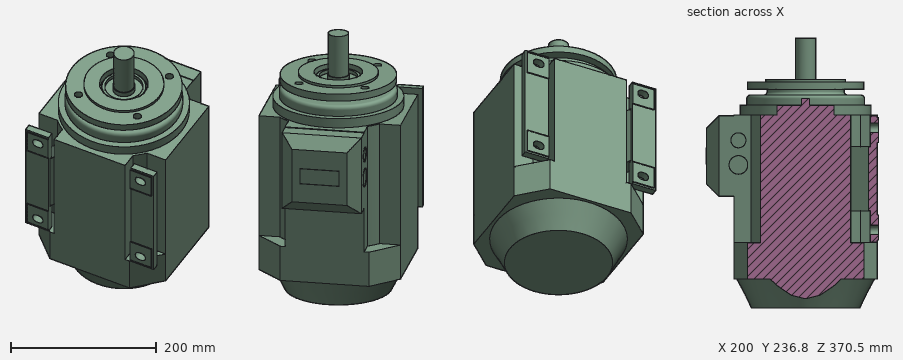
import cadquery as cq
import math


shaft_diameter = 28.0
shaft_length = 60.0
collar_diameter = 30.4
spigot_diameter = 110.0
spigot_height = 3.5
flange_diameter = 160.0
flange_thickness = 10.2
bolt_circle_diameter = 130.0
bolt_hole_diameter = 11.0
bolt_count = 4
first_bolt_angle = 45.0

recess_diameter = 66.5
recess_depth = 10.5
ring_outer_diameter = 61.4
ring_inner_diameter = 52.5
ring_height = 5.0
ring_chamfer = 0.7
recess_floor_z = spigot_height - recess_depth

neck_diameter = 106.0
neck_fillet = 4.5
shoulder_z = -18.0
shield_diameter = 162.0
shield_fillet = 5.5
rim_z = -32.0
rim_diameter = 180.0

half_width = 99.0
half_depth = 98.4
flat_half_width = 62.1
body_top_z = -45.5
notched_length = 175.0
octagon_length = 50.0
rib_half_width = 55.3
core_diameter = 186.8
octagon_top_z = body_top_z - notched_length
octagon_bottom_z = octagon_top_z - octagon_length

cover_length = 40.0
cover_top_diameter = 189.0
cover_end_diameter = 148.5

box_width = 2 * rib_half_width
box_top_gap = 1.0
box_top_z = body_top_z - box_top_gap
box_wall_y = 119.1
box_lid_bevel = 16.9
box_cover_y = box_wall_y + box_lid_bevel
box_middle_z = box_top_z - box_width / 2
plate_width = 54.5
plate_height = 22.0
plate_thickness = 0.75
entry_y = 92.2
entry_recess_depth = 1.0
entries = ((20.6, 34.7), (25.6, 68.5))

shaft_height = 100.0
foot_outer_x = 100.0
foot_inner_x = 64.2
foot_end_gap = 0.75
pad_outer_x = 97.0
pad_end_gap = 3.5
pad_length = 34.5
foot_bottom_y = -half_depth
foot_thickness = 10.0
foot_top_y = foot_bottom_y + foot_thickness
foot_hole_x = 80.0
foot_hole_spacing = 140.0
foot_slot_length = 16.0
foot_slot_width = 12.5
web_length = 88.0
web_lean = 0.46
feet_middle_z = body_top_z - notched_length / 2


def box_between(x_min, x_max, y_min, y_max, z_min, z_max):
    size = (x_max - x_min, y_max - y_min, z_max - z_min)
    return cq.Workplane("XY").box(*size, centered=False).translate((x_min, y_min, z_min))


def cylinder_between(diameter, z_min, z_max):
    return cq.Workplane("XY").workplane(offset=z_min).circle(diameter / 2).extrude(z_max - z_min)


def make_body():
    octagon = (
        cq.Workplane("XY")
        .workplane(offset=octagon_bottom_z)
        .polyline([
            (half_width, -flat_half_width),
            (half_width, flat_half_width),
            (flat_half_width, half_depth),
            (-flat_half_width, half_depth),
            (-half_width, flat_half_width),
            (-half_width, -flat_half_width),
            (-flat_half_width, -half_depth),
            (flat_half_width, -half_depth),
        ])
        .close()
        .extrude(octagon_length)
    )
    side_block = box_between(
        -half_width, half_width, -flat_half_width, flat_half_width, octagon_top_z, body_top_z
    )
    rib_block = box_between(
        -rib_half_width, rib_half_width, -half_depth, half_depth, octagon_top_z, body_top_z
    )
    core = cylinder_between(core_diameter, octagon_top_z, body_top_z)
    return octagon.union(side_block).union(rib_block).union(core)


def make_fan_cover():
    return (
        cq.Workplane("XY")
        .workplane(offset=octagon_bottom_z)
        .circle(cover_top_diameter / 2)
        .workplane(offset=-cover_length)
        .circle(cover_end_diameter / 2)
        .loft(ruled=True)
    )


def make_flange_end():
    """End shield, neck, flange and spigot turned as one profile."""
    neck_r = neck_diameter / 2
    shield_r = shield_diameter / 2
    arc_reach = 1 - math.sqrt(0.5)
    turned = (
        cq.Workplane("XZ")
        .moveTo(0, body_top_z)
        .lineTo(rim_diameter / 2, body_top_z)
        .lineTo(rim_diameter / 2, rim_z)
        .lineTo(shield_r, rim_z)
        .lineTo(shield_r, shoulder_z - shield_fillet)
        .threePointArc(
            (shield_r - arc_reach * shield_fillet, shoulder_z - arc_reach * shield_fillet),
            (shield_r - shield_fillet, shoulder_z),
        )
        .lineTo(neck_r + neck_fillet, shoulder_z)
        .threePointArc(
            (neck_r + arc_reach * neck_fillet, shoulder_z + arc_reach * neck_fillet),
            (neck_r, shoulder_z + neck_fillet),
        )
        .lineTo(neck_r, -flange_thickness)
        .lineTo(flange_diameter / 2, -flange_thickness)
        .lineTo(flange_diameter / 2, 0)
        .lineTo(spigot_diameter / 2, 0)
        .lineTo(spigot_diameter / 2, spigot_height)
        .lineTo(recess_diameter / 2, spigot_height)
        .lineTo(recess_diameter / 2, recess_floor_z)
        .lineTo(0, recess_floor_z)
        .close()
        .revolve(360, (0, 0, 0), (0, 1, 0))
    )
    bolt_holes = (
        cq.Workplane("XY")
        .polarArray(bolt_circle_diameter / 2, first_bolt_angle, 360, bolt_count)
        .circle(bolt_hole_diameter / 2)
        .extrude(-flange_thickness)
    )
    ring = (
        cylinder_between(ring_outer_diameter, recess_floor_z, recess_floor_z + ring_height)
        .faces(">Z")
        .chamfer(ring_chamfer)
        .cut(cylinder_between(ring_inner_diameter, recess_floor_z, recess_floor_z + ring_height))
    )
    return turned.cut(bolt_holes).union(ring)


def make_shaft():
    collar = cylinder_between(collar_diameter, recess_floor_z, 0)
    return collar.union(cylinder_between(shaft_diameter, 0, shaft_length))


def make_terminal_box():
    walls = box_between(
        -rib_half_width, rib_half_width, 0, box_wall_y, box_top_z - box_width, box_top_z
    )
    lid_width = box_width - 2 * box_lid_bevel
    lid = (
        cq.Workplane("XZ", origin=(0, box_wall_y, box_middle_z))
        .rect(box_width, box_width)
        .workplane(offset=box_wall_y - box_cover_y)
        .rect(lid_width, lid_width)
        .loft(ruled=True)
    )
    plate = cq.Workplane("XY").box(plate_width, plate_thickness, plate_height)
    plate = plate.translate((0, box_cover_y + plate_thickness / 2, box_middle_z))
    return walls.union(lid).union(plate)


def make_cable_entries():
    """Shallow round recesses in the -X wall of the terminal box."""
    recesses = cq.Workplane("XY")
    for diameter, drop in entries:
        recess = (
            cq.Workplane("YZ", origin=(-rib_half_width, entry_y, body_top_z - drop))
            .circle(diameter / 2)
            .extrude(entry_recess_depth)
        )
        recesses = recesses.union(recess)
    return recesses


def make_foot():
    """Foot on the +X side: plate, two raised pads, slotted holes and a leaning web."""
    foot_top_z = body_top_z - foot_end_gap
    foot_bottom_z = octagon_top_z + foot_end_gap
    foot = box_between(
        foot_inner_x, foot_outer_x, foot_bottom_y, foot_top_y, foot_bottom_z, foot_top_z
    )

    for pad_bottom_z in (octagon_top_z + pad_end_gap, body_top_z - pad_end_gap - pad_length):
        pad = box_between(
            foot_inner_x, pad_outer_x, -shaft_height, foot_bottom_y,
            pad_bottom_z, pad_bottom_z + pad_length,
        )
        foot = foot.union(pad)

    slots = (
        cq.Workplane("XZ", origin=(foot_hole_x, -shaft_height, feet_middle_z))
        .rarray(1, foot_hole_spacing, 1, 2)
        .slot2D(foot_slot_length, foot_slot_width)
        .extrude(-(foot_top_y + shaft_height))
    )
    foot = foot.cut(slots)

    core_r = core_diameter / 2
    outer_root = (math.sqrt(core_r**2 - flat_half_width**2), -flat_half_width)
    inner_root = (rib_half_width, -math.sqrt(core_r**2 - rib_half_width**2))
    outer_toe_x = outer_root[0] + web_lean * (outer_root[1] - foot_top_y)
    inner_toe_y = inner_root[1] - (foot_inner_x - rib_half_width) / web_lean
    web = (
        cq.Workplane("XY")
        .workplane(offset=feet_middle_z - web_length / 2)
        .polyline([
            (rib_half_width, -flat_half_width),
            outer_root,
            (outer_toe_x, foot_top_y),
            (foot_inner_x, foot_top_y),
            (foot_inner_x, inner_toe_y),
            inner_root,
        ])
        .close()
        .extrude(web_length)
    )
    return foot.union(web)


right_foot = make_foot()

result = (
    make_body()
    .union(make_fan_cover())
    .union(make_flange_end())
    .union(make_shaft())
    .union(make_terminal_box())
    .union(right_foot)
    .union(right_foot.mirror("YZ"))
    .cut(make_cable_entries())
)